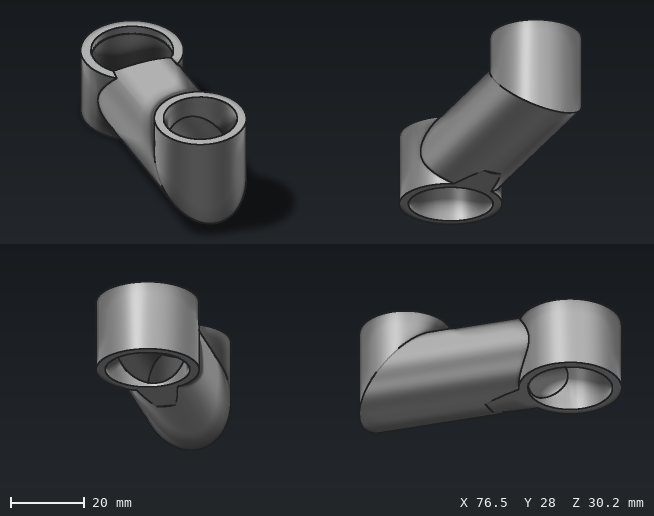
import cadquery as cq
import math

ring_outer_diameter = 28.0
ring_inner_diameter = 22.3
ring_height = 20.0
lip_height = 2.5
relief_diameter = 22.95
tube_outer_diameter = 25.0
tube_inner_diameter = 20.0
overall_length = 76.5
socket_top = 30.0
elbow_height = 14.8
flat_end = 24.5

ring_middle = ring_height / 2
elbow_x = overall_length - (ring_outer_diameter + tube_outer_diameter) / 2
tube_rise = elbow_height - ring_middle
tube_length = math.hypot(elbow_x, tube_rise)
tube_angle = math.degrees(math.atan2(tube_rise, elbow_x))
miter_angle = (90 - tube_angle) / 2
reach = 2 * overall_length


def elbow_pipe(diameter, top):
    """Sloping cylinder and upright cylinder meeting at a miter."""
    past_elbow = 2 * diameter
    slope = (
        cq.Workplane("YZ")
        .circle(diameter / 2)
        .extrude(tube_length + past_elbow)
        .rotate((0, 0, 0), (0, 1, 0), -tube_angle)
        .translate((0, 0, ring_middle))
    )
    upright = (
        cq.Workplane("XY", origin=(elbow_x, 0, elbow_height - past_elbow))
        .circle(diameter / 2)
        .extrude(top - elbow_height + past_elbow)
    )
    above_miter = (
        cq.Workplane("XY")
        .box(reach, reach, reach, centered=(True, True, False))
        .rotate((0, 0, 0), (0, 1, 0), miter_angle)
        .translate((elbow_x, 0, elbow_height))
    )
    return slope.cut(above_miter).union(upright.intersect(above_miter))


def upright_cylinder(diameter, bottom, height):
    """Cylinder on the ring axis."""
    return cq.Workplane("XY").workplane(offset=bottom).circle(diameter / 2).extrude(height)


ring = upright_cylinder(ring_outer_diameter, 0, ring_height)
outside = ring.union(elbow_pipe(tube_outer_diameter, socket_top))
passage = elbow_pipe(tube_inner_diameter, socket_top)
ring_bore = upright_cylinder(ring_inner_diameter, -reach / 2, reach)
relief_top = ring_height - lip_height
relief_bore = upright_cylinder(relief_diameter, -reach / 2, relief_top + reach / 2)

underside_trim = cq.Workplane("XY", origin=(flat_end - reach / 2, 0, -reach / 2)).box(reach, reach, reach)

result = outside.cut(passage).cut(ring_bore).cut(relief_bore).cut(underside_trim)